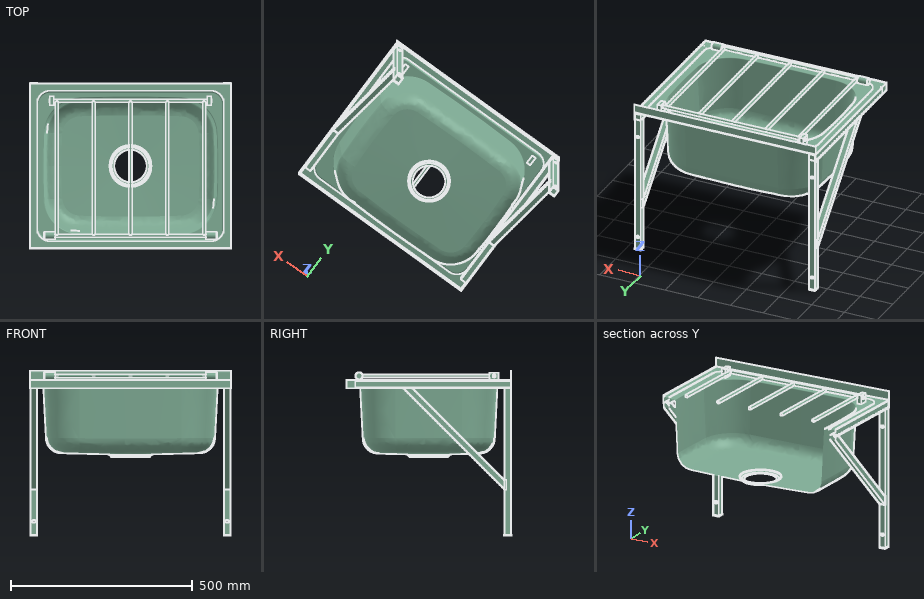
import cadquery as cq
import math

sink_width = 555.0
sink_depth = 455.0
sheet = 1.5
skirt_height = 23.5
upstand_height = 25.0
upstand_bevel_height = 7.0
upstand_bevel = 0.5
half_width = sink_width / 2
half_depth = sink_depth / 2

recess_border = 20.0
recess_radius = 36.0
recess_depth = 5.5
recess_slope_width = 5.0
recess_bend = 2.5

corner_x = 137.5
corner_y = 86.5
opening_radius = 102.0
end_wall_radius = 1650.0
side_wall_radius = 4000.0
opening_bend = 3.0
wall_taper = 3.0
bowl_depth = 207.5
bowl_bottom_radius = 44.0
floor_slope = 1.4
floor_reach = sink_width / 2

drain_top = -204.5
drain_rim_radius = 58.0
drain_cup_radius = 53.0
drain_hole_radius = 44.5
drain_bottom = -213.0

tube = 19.0
tube_wall = 1.2
total_height = 455.04
foot_thickness = 2.5
foot_overhang = 1.3
arm_front_gap = 25.5
arm_top = -3.0
leg_bottom = upstand_height - total_height + foot_thickness
bracket_outer_x = half_width - sheet
bracket_center_x = bracket_outer_x - tube / 2
leg_front_y = half_depth - tube
brace_socket_depth = 5.0
brace_foot_top = -276.0
bolt_hole_diameter = 8.0
bolt_heights = (40.0, 355.0)

rod_diameter = 8.6
rod_count = 5
rod_pitch = 101.5
grate_z = 10.5
rear_rail_y = 180.0
front_rail_y = -192.0

hinge_inner_x = 211.5
hinge_width = 11.5
hinge_depth = 25.5
hinge_top = 20.0
pin_projection = 1.5
rail_end_chamfer = 1.2
bumper_radius = 10.5
bumper_inner_x = 207.5
bumper_length = 31.0
bumper_chamfer = 1.5
bumper_socket_depth = 15.0


def block(x0, x1, y0, y1, z0, z1):
    """Box between the given limits."""
    return cq.Workplane("XY").box(x1 - x0, y1 - y0, z1 - z0, centered=False).translate((x0, y0, z0))


def rod_along_x(x0, x1, y, z, radius):
    """Round bar parallel to X."""
    return cq.Workplane("YZ", origin=(x0, y, z)).circle(radius).extrude(x1 - x0)


def bowl_outline(radius):
    """Rounded rectangle with bowed walls that run smoothly into corners of the given radius."""
    inset = opening_radius - radius
    end_centers = end_wall_radius - opening_radius
    side_centers = side_wall_radius - opening_radius
    end_angle = math.asin(corner_y / end_centers)
    side_angle = math.asin(corner_x / side_centers)
    middle_x = corner_x - end_centers * math.cos(end_angle) + end_wall_radius - inset
    middle_y = corner_y - side_centers * math.cos(side_angle) + side_wall_radius - inset

    end_x = corner_x + radius * math.cos(end_angle)
    end_y = corner_y + radius * math.sin(end_angle)
    side_x = corner_x + radius * math.sin(side_angle)
    side_y = corner_y + radius * math.cos(side_angle)
    diagonal_x = corner_x + radius * math.sqrt(0.5)
    diagonal_y = corner_y + radius * math.sqrt(0.5)
    return (
        cq.Workplane("XY")
        .moveTo(end_x, -end_y)
        .threePointArc((middle_x, 0), (end_x, end_y))
        .threePointArc((diagonal_x, diagonal_y), (side_x, side_y))
        .threePointArc((0, middle_y), (-side_x, side_y))
        .threePointArc((-diagonal_x, diagonal_y), (-end_x, end_y))
        .threePointArc((-middle_x, 0), (-end_x, -end_y))
        .threePointArc((-diagonal_x, -diagonal_y), (-side_x, -side_y))
        .threePointArc((0, -middle_y), (side_x, -side_y))
        .threePointArc((diagonal_x, -diagonal_y), (end_x, -end_y))
        .close()
    )


def bowl_form(inset):
    """Solid form of the bowl, drawn in from the outer face by the given inset."""
    center_z = inset - bowl_depth
    edge_z = center_z + floor_reach * math.tan(math.radians(floor_slope))
    floor_cutoff = (
        cq.Workplane("XZ")
        .polyline([(0, center_z), (-floor_reach, edge_z), (-floor_reach, 0), (0, 0)])
        .close()
        .revolve(360, (0, 0, 0), (0, 1, 0))
    )
    walls = bowl_outline(opening_radius - inset).extrude(-bowl_depth, taper=wall_taper)
    body = walls.intersect(floor_cutoff)
    return body.faces("<Z").edges("not %LINE").fillet(bowl_bottom_radius - inset)


def recess_form(drop):
    """Solid form of the pressed panel with sloping edges, lowered by the given drop."""
    slope = math.degrees(math.atan(recess_slope_width / recess_depth))
    width = sink_width - 2 * recess_border
    depth = sink_depth - 2 * recess_border
    outline = cq.Sketch().rect(width, depth).vertices().fillet(recess_radius)
    form = cq.Workplane("XY", origin=(0, 0, -drop)).placeSketch(outline).extrude(-recess_depth, taper=slope)
    return form.faces("<Z").edges().fillet(recess_bend)


def drain_form(inset):
    """Solid form of the stepped cup below the bowl floor."""
    bottom = drain_bottom + inset
    return (
        cq.Workplane("XZ")
        .moveTo(0, drain_top)
        .lineTo(drain_rim_radius - inset, drain_top)
        .lineTo(drain_rim_radius - inset, inset - bowl_depth)
        .lineTo(drain_cup_radius - inset, bottom)
        .lineTo(0, bottom)
        .close()
        .revolve(360, (0, 0, 0), (0, 1, 0))
    )


def edges_within(margin, z):
    """Selector for the edges near height z that lie inside the worktop's border by the margin."""
    x = half_width - margin
    y = half_depth - margin
    reach = sheet / 4
    return cq.selectors.BoxSelector((-x, -y, z - reach), (x, y, z + reach), boundingbox=True)


def make_panel():
    """Worktop with its pressed recess and the bowl, one sheet thick."""
    outside_recess = recess_border / 2
    outside_bowl = recess_border + recess_slope_width + 2 * recess_bend
    panel = block(-half_width, half_width, -half_depth, half_depth, -sheet, 0)
    panel = panel.union(recess_form(sheet)).union(bowl_form(0))
    panel = panel.edges(edges_within(outside_bowl, -recess_depth - sheet)).fillet(opening_bend - sheet)
    panel = panel.cut(recess_form(0))
    panel = panel.edges(edges_within(outside_recess, 0)).fillet(recess_bend)
    panel = panel.cut(bowl_form(sheet))
    return panel.edges(edges_within(outside_bowl, -recess_depth)).fillet(opening_bend)


def make_sink():
    """Worktop and bowl with the rear upstand, the skirts and the drain cup."""
    upstand = block(-half_width, half_width, half_depth - sheet, half_depth, -sheet, upstand_height)
    upstand = upstand.faces(">Z").edges("<Y").chamfer(upstand_bevel_height, upstand_bevel)
    front = block(-half_width, half_width, -half_depth, -half_depth + sheet, -skirt_height, 0)
    sink = make_panel().union(upstand).union(front)
    for x in (-half_width, half_width - sheet):
        sink = sink.union(block(x, x + sheet, -half_depth, half_depth, -skirt_height, 0))
    sink = sink.union(drain_form(0)).cut(drain_form(sheet))
    hole = cq.Workplane("XY", origin=(0, 0, drain_bottom)).circle(drain_hole_radius).extrude(bowl_depth)
    return sink.cut(hole)


def make_bracket():
    """Square-tube wall bracket on the +X side: leg, top arm and diagonal brace."""
    x0 = bracket_center_x - tube / 2
    x1 = x0 + tube
    arm_bottom = arm_top - tube
    arm_front = -half_depth + arm_front_gap
    brace_height = tube * math.sqrt(2)

    leg = block(x0, x1, leg_front_y, half_depth, leg_bottom, arm_top)
    arm = block(x0, x1, arm_front, half_depth, arm_bottom, arm_top)
    frame = leg.union(arm)
    inner_x0 = x0 + tube_wall
    inner_x1 = x1 - tube_wall
    leg_bore = block(
        inner_x0, inner_x1, leg_front_y + tube_wall, half_depth - tube_wall, leg_bottom, arm_bottom
    )
    arm_bore = block(
        inner_x0, inner_x1, arm_front, half_depth - tube_wall, arm_bottom + tube_wall, arm_top - tube_wall
    )
    frame = frame.cut(leg_bore).cut(arm_bore)

    def brace_form(inset):
        """Brace rising at 45 degrees from the leg to the arm, drawn in by the given inset."""
        edge_shift = inset * math.sqrt(2)
        upper = brace_foot_top - edge_shift
        lower = brace_foot_top - brace_height + edge_shift
        outline = [
            (leg_front_y, upper),
            (leg_front_y, lower),
            (leg_front_y - arm_bottom + lower, arm_bottom),
            (leg_front_y - arm_bottom + upper, arm_bottom),
        ]
        length = tube - 2 * inset
        return cq.Workplane("YZ", origin=(x0 + inset, 0, 0)).polyline(outline).close().extrude(length)

    socket = block(
        x0, x1, leg_front_y, leg_front_y + brace_socket_depth, brace_foot_top - brace_height, brace_foot_top
    )
    frame = frame.union(brace_form(0)).cut(brace_form(tube_wall)).union(socket)

    for height in bolt_heights:
        z = leg_bottom - foot_thickness + height
        hole = cq.Workplane("XZ", origin=(bracket_center_x, half_depth, z)).circle(bolt_hole_diameter / 2)
        frame = frame.cut(hole.extrude(tube))
    return frame


def make_foot():
    """Flat cap under the leg on the +X side."""
    reach = tube / 2 + foot_overhang
    leg_y = half_depth - tube / 2
    return block(
        bracket_center_x - tube / 2,
        bracket_center_x + tube / 2,
        leg_y - reach,
        leg_y + reach,
        leg_bottom - foot_thickness,
        leg_bottom,
    )


def make_grate():
    """Two cross rails joined by parallel rods."""
    radius = rod_diameter / 2
    rear_reach = hinge_inner_x + hinge_width + pin_projection
    front_reach = bumper_inner_x + bumper_socket_depth
    grate = rod_along_x(-rear_reach, rear_reach, rear_rail_y, grate_z, radius)
    grate = grate.faces("<X or >X").chamfer(rail_end_chamfer)
    grate = grate.union(rod_along_x(-front_reach, front_reach, front_rail_y, grate_z, radius))
    for index in range(rod_count):
        x = (index - (rod_count - 1) / 2) * rod_pitch
        rod = cq.Workplane("XZ", origin=(x, rear_rail_y, grate_z)).circle(radius)
        grate = grate.union(rod.extrude(rear_rail_y - front_rail_y))
    return grate


def make_hinge():
    """Block on the +X side that carries the rear rail."""
    y0 = rear_rail_y - hinge_depth / 2
    x1 = hinge_inner_x + hinge_width
    hinge = block(hinge_inner_x, x1, y0, y0 + hinge_depth, -recess_depth, hinge_top)
    return hinge.cut(rod_along_x(hinge_inner_x, x1, rear_rail_y, grate_z, rod_diameter / 2))


def make_bumper():
    """Round bumper on the +X end of the front rail."""
    bumper = rod_along_x(bumper_inner_x, bumper_inner_x + bumper_length, front_rail_y, grate_z, bumper_radius)
    bumper = bumper.faces(">X").chamfer(bumper_chamfer)
    socket_end = bumper_inner_x + bumper_socket_depth
    return bumper.cut(rod_along_x(bumper_inner_x, socket_end, front_rail_y, grate_z, rod_diameter / 2))


sink = make_sink()
grate = make_grate()
right_parts = [make_bracket(), make_foot(), make_hinge(), make_bumper()]
left_parts = [part.mirror("YZ") for part in right_parts]
result = cq.Compound.makeCompound([part.val() for part in [sink, grate, *right_parts, *left_parts]])